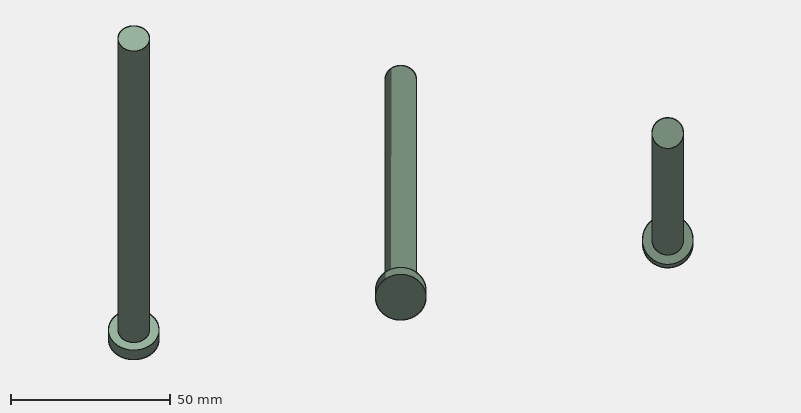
import cadquery as cq

total_length = 158.0
head_diameter = 16.0
head_height = 5.0
shank_diameter = 10.0

head = cq.Workplane("XY").circle(head_diameter / 2).extrude(head_height)
shank = cq.Workplane("XY").circle(shank_diameter / 2).extrude(total_length)

result = head.union(shank)